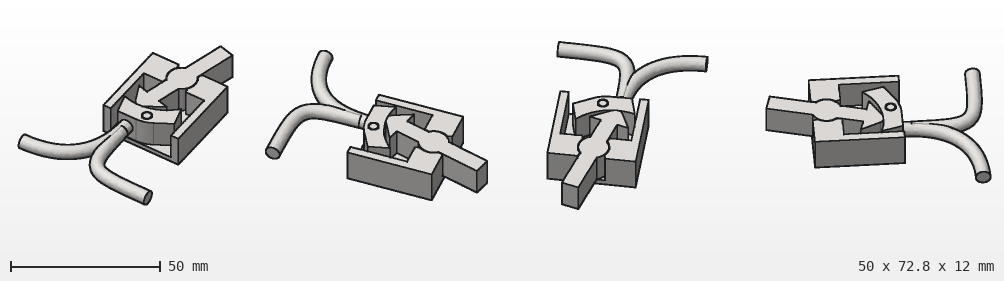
import cadquery as cq
import math

HEIGHT = 12.0
FLOOR = 2.0
BODY_HEIGHT = HEIGHT - FLOOR
HOUSING_WIDTH = 29.85
HOUSING_DEPTH = 30.15
CAVITY_WIDTH = 24.0
CAVITY_DEPTH = 20.25
TILT = 15.0
PIVOT_Y = (CAVITY_DEPTH + HOUSING_DEPTH) / 2

HUB_RADIUS = 5.1
LEVER_CLEARANCE = 0.2
BAR_HALF_WIDTH = 3.0
HANDLE_LENGTH = 19.95
SHOULDER_REACH = 13.0
HEAD_HALF_WIDTH = 7.0
TIP_OFFSET = -0.7
TIP_REACH = 20.75
TIP_RADIUS = 2.3

PIN_DIAMETER = 3.0
PIN_HOLE_DIAMETER = 3.6
PIN_Y = 3.7
ROCKER_HALF_WIDTH = 10.0
ROCKER_END_TOP = 6.6
ROCKER_MIDDLE_TOP = 3.6
ROCKER_END_BOTTOM = -0.95
ROCKER_BOTTOM_RADIUS = 11.95

TAIL_DIAMETER = 5.0
TAIL_SPREAD = 50.0
TAIL_X = -5.8
TAIL_Z = FLOOR + BODY_HEIGHT / 2
FORK_Y = -2.85
TAIL_END_Y = -25.05
LEFT_BEND = 0.65
RIGHT_BEND = 1.0


def on_floor():
    return cq.Workplane("XY").workplane(offset=FLOOR)


def make_housing():
    tray = cq.Workplane("XY").box(HOUSING_WIDTH, HOUSING_DEPTH, HEIGHT, centered=(True, False, False))
    cavity = on_floor().rect(CAVITY_WIDTH, 2 * CAVITY_DEPTH).extrude(BODY_HEIGHT)
    hub_seat = on_floor().center(0, PIVOT_Y).circle(HUB_RADIUS + LEVER_CLEARANCE).extrude(BODY_HEIGHT)
    return tray.cut(cavity).cut(hub_seat).cut(make_lever_passage())


def make_lever_passage():
    """Hourglass opening whose sides lie parallel to the bar at both ends of its swing."""
    tilt = math.radians(TILT)
    half_length = (HOUSING_DEPTH - CAVITY_DEPTH) / 2
    waist = (BAR_HALF_WIDTH + LEVER_CLEARANCE) / math.cos(tilt)
    mouth = waist + half_length * math.tan(tilt)
    outline = [
        (-mouth, -half_length),
        (mouth, -half_length),
        (waist, 0),
        (mouth, half_length),
        (-mouth, half_length),
        (-waist, 0),
    ]
    return on_floor().center(0, PIVOT_Y).polyline(outline).close().extrude(BODY_HEIGHT)


def make_lever():
    outline = [
        (-BAR_HALF_WIDTH, HANDLE_LENGTH),
        (-BAR_HALF_WIDTH, -SHOULDER_REACH),
        (-HEAD_HALF_WIDTH, -SHOULDER_REACH),
        (TIP_OFFSET, -TIP_REACH),
        (HEAD_HALF_WIDTH, -SHOULDER_REACH),
        (BAR_HALF_WIDTH, -SHOULDER_REACH),
        (BAR_HALF_WIDTH, HANDLE_LENGTH),
    ]
    arrow = on_floor().polyline(outline).close().extrude(BODY_HEIGHT)
    arrow = arrow.edges("|Z").edges("<Y").fillet(TIP_RADIUS)
    hub = on_floor().circle(HUB_RADIUS).extrude(BODY_HEIGHT)
    lever = arrow.union(hub)
    return lever.rotate((0, 0, 0), (0, 0, 1), -TILT).translate((0, PIVOT_Y, 0))


def make_rocker_block():
    keel = ROCKER_END_BOTTOM - ROCKER_HALF_WIDTH * math.tan(math.radians(TILT))
    block = (
        on_floor()
        .moveTo(-ROCKER_HALF_WIDTH, ROCKER_END_TOP)
        .threePointArc((0, ROCKER_MIDDLE_TOP), (ROCKER_HALF_WIDTH, ROCKER_END_TOP))
        .lineTo(ROCKER_HALF_WIDTH, ROCKER_END_BOTTOM)
        .lineTo(0, keel)
        .lineTo(-ROCKER_HALF_WIDTH, ROCKER_END_BOTTOM)
        .close()
        .extrude(BODY_HEIGHT)
    )
    block = block.edges("|Z").edges("<Y").fillet(ROCKER_BOTTOM_RADIUS)
    pin_hole = on_floor().circle(PIN_HOLE_DIAMETER / 2).extrude(BODY_HEIGHT)
    block = block.cut(pin_hole)
    return block.rotate((0, 0, 0), (0, 0, 1), TILT).translate((0, PIN_Y, 0))


def make_tail_branch(side, start_y, bend):
    """Rod that curves from start_y to one side; side is -1 for left and 1 for right."""
    end_x = TAIL_X + side * TAIL_SPREAD / 2
    controls = [
        cq.Vector(TAIL_X, start_y, TAIL_Z),
        cq.Vector(TAIL_X, start_y + bend * (TAIL_END_Y - start_y), TAIL_Z),
        cq.Vector(end_x + bend * (TAIL_X - end_x), TAIL_END_Y, TAIL_Z),
        cq.Vector(end_x, TAIL_END_Y, TAIL_Z),
    ]
    path = cq.Workplane(cq.Edge.makeBezier(controls))
    section = cq.Workplane("XZ", origin=(TAIL_X, start_y, TAIL_Z)).circle(TAIL_DIAMETER / 2)
    return section.sweep(path)


def make_rocker():
    """The rocker block and its forked tail, which grows from the block's left lower flat."""
    tilt = math.radians(TILT)
    keel_drop = ROCKER_HALF_WIDTH * math.tan(tilt) - ROCKER_END_BOTTOM
    flat_y = PIN_Y - keel_drop * math.cos(tilt)
    left_branch = make_tail_branch(-1, flat_y, LEFT_BEND)
    right_branch = make_tail_branch(1, FORK_Y, RIGHT_BEND)
    return make_rocker_block().union(left_branch.union(right_branch))


def make_pin():
    return on_floor().center(0, PIN_Y).circle(PIN_DIAMETER / 2).extrude(BODY_HEIGHT)


housing = make_housing()
rocker = make_rocker()
lever = make_lever().cut(rocker)
pin = make_pin()

result = cq.Compound.makeCompound(
    [
        *housing.solids().vals(),
        *lever.solids().vals(),
        *rocker.solids().vals(),
        *pin.solids().vals(),
    ]
)